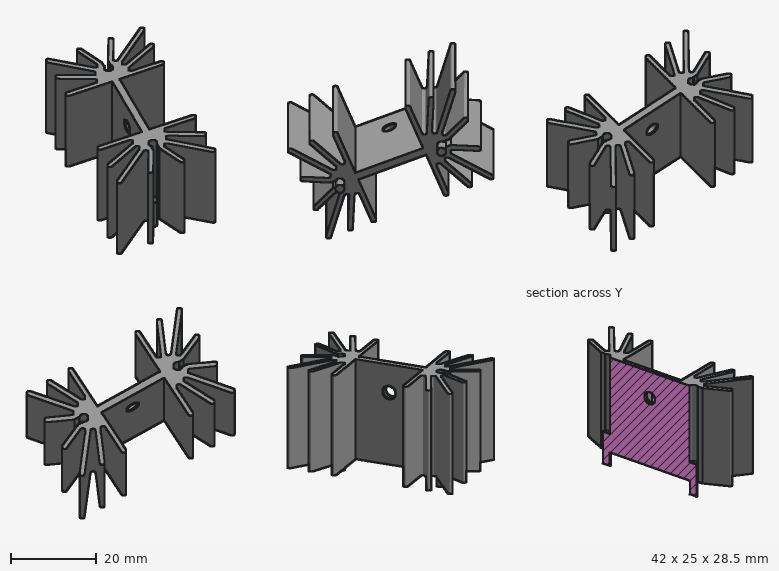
import cadquery as cq
import math

LENGTH_X = 42.0
WIDTH_Y = 25.0
BODY_HEIGHT = 25.0

WEB_THICKNESS = 1.9
WEB_HALF_LENGTH = 8.5

FIN_WIDTH = 1.2
FIN_RADIUS = FIN_WIDTH / 2
VALLEY_RADIUS = 0.6
TIP_X = LENGTH_X / 2 - FIN_RADIUS
TIP_Y = WIDTH_Y / 2 - FIN_RADIUS
LOW_FIN_TIP_Y = 4.0
STEEP_FIN_TIP_X = 14.95

FINS = [
    ((TIP_X, LOW_FIN_TIP_Y), 25.0),
    ((TIP_X, TIP_Y), 51.8),
    ((STEEP_FIN_TIP_X, TIP_Y), 65.4),
    ((WEB_HALF_LENGTH + FIN_RADIUS, TIP_Y), 90.0),
]

PIN_PITCH = 25.5
PIN_DIAMETER = 2.1
PIN_PROTRUSION = 3.5
PIN_ENGAGEMENT = 5.0
BORE_DIAMETER = 2.0
SLOT_WIDTH = 1.5
SLOT_END_X = 13.6

HOLE_DIAMETER = 3.0
HOLE_CHAMFER = 0.2
HOLE_Z = 18.0


def fin_point(fin, along, left):
    """Point measured from a fin's tip centre, along its axis and to the left of it."""
    (tip_x, tip_y), angle = fin
    c = math.cos(math.radians(angle))
    s = math.sin(math.radians(angle))
    return (tip_x + along * c - left * s, tip_y + along * s + left * c)


def valley_reach(fin, next_fin):
    """Position, along each of two neighbouring fins, of the circle tangent to both."""
    offset = FIN_RADIUS + VALLEY_RADIUS
    x1, y1 = fin_point(fin, 0, offset)
    x2, y2 = fin_point(next_fin, 0, -offset)
    a1 = math.radians(fin[1])
    a2 = math.radians(next_fin[1])
    spread = math.sin(a2 - a1)
    along_fin = ((x2 - x1) * math.sin(a2) - (y2 - y1) * math.cos(a2)) / spread
    along_next = ((x2 - x1) * math.sin(a1) - (y2 - y1) * math.cos(a1)) / spread
    return along_fin, along_next


def add_valley(outline, fin, next_fin):
    """Run down the left side of a fin and round the valley to the next fin."""
    along_fin, along_next = valley_reach(fin, next_fin)
    centre_x, centre_y = fin_point(fin, along_fin, FIN_RADIUS + VALLEY_RADIUS)
    middle_angle = math.radians((fin[1] + next_fin[1]) / 2)
    bottom = (
        centre_x - VALLEY_RADIUS * math.cos(middle_angle),
        centre_y - VALLEY_RADIUS * math.sin(middle_angle),
    )
    outline = outline.lineTo(*fin_point(fin, along_fin, FIN_RADIUS))
    return outline.threePointArc(bottom, fin_point(next_fin, along_next, -FIN_RADIUS))


def add_tip(outline, fin):
    """Run up the right side of a fin and round its tip."""
    outline = outline.lineTo(*fin_point(fin, 0, -FIN_RADIUS))
    return outline.threePointArc(fin_point(fin, FIN_RADIUS, 0), fin_point(fin, 0, FIN_RADIUS))


def make_quarter():
    """Quarter of the extrusion in +X +Y, with the outward slot left open."""
    low_fin = FINS[0]
    edge_x, edge_y = fin_point(low_fin, 0, -FIN_RADIUS)
    slot_mouth_x = edge_x - (edge_y - SLOT_WIDTH / 2) / math.tan(math.radians(low_fin[1]))

    outline = (
        cq.Workplane("XY")
        .lineTo(SLOT_END_X, 0)
        .lineTo(SLOT_END_X, SLOT_WIDTH / 2)
        .lineTo(slot_mouth_x, SLOT_WIDTH / 2)
    )
    for fin, next_fin in zip(FINS, FINS[1:]):
        outline = add_tip(outline, fin)
        outline = add_valley(outline, fin, next_fin)
    outline = add_tip(outline, FINS[-1])
    outline = outline.lineTo(WEB_HALF_LENGTH, WEB_THICKNESS / 2).lineTo(0, WEB_THICKNESS / 2)
    return outline.close().extrude(BODY_HEIGHT)


def make_body():
    quarter = make_quarter()
    half = quarter.union(quarter.mirror("XZ"))
    return half.union(half.mirror("YZ")).clean()


def pin_cylinders(diameter, bottom, top):
    """Pair of cylinders on the pin axes between two heights."""
    return (
        cq.Workplane("XY")
        .workplane(offset=bottom)
        .pushPoints([(-PIN_PITCH / 2, 0), (PIN_PITCH / 2, 0)])
        .circle(diameter / 2)
        .extrude(top - bottom)
    )


def make_mounting_hole():
    """Cutter: a bore along Y, flared at each face of the web."""
    bore_radius = HOLE_DIAMETER / 2
    mouth_radius = bore_radius + HOLE_CHAMFER
    face_y = WEB_THICKNESS / 2
    bore_y = face_y - HOLE_CHAMFER
    return (
        cq.Workplane("XY")
        .polyline([
            (0, -face_y),
            (mouth_radius, -face_y),
            (bore_radius, -bore_y),
            (bore_radius, bore_y),
            (mouth_radius, face_y),
            (0, face_y),
        ])
        .close()
        .revolve(360, (0, 0), (0, 1))
        .translate((0, 0, HOLE_Z))
    )


bores = pin_cylinders(BORE_DIAMETER, 0, BODY_HEIGHT)
pins = pin_cylinders(PIN_DIAMETER, -PIN_PROTRUSION, PIN_ENGAGEMENT)
body = make_body().cut(bores).cut(make_mounting_hole())
result = body.union(pins)